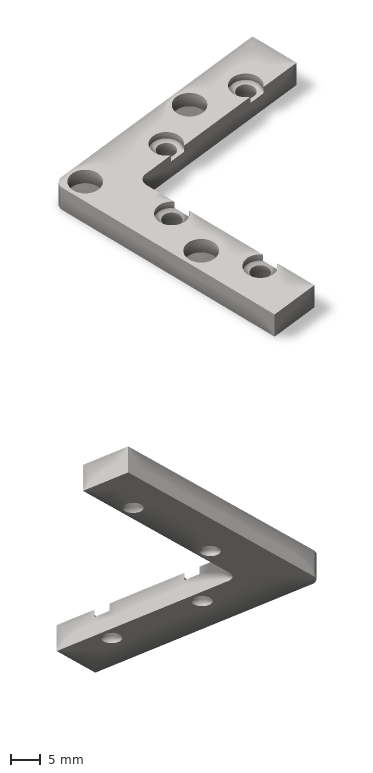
import cadquery as cq

leg_length = 50.0
leg_width = 10.0
thickness = 5.0
corner_radius = 2.0

screw_diameter = 3.6
counterbore_diameter = 6.0
counterbore_depth = 1.4
screw_edge_offset = 7.5
screw_stations = (20.0, 40.0)

pocket_diameter = 6.0
pocket_depth = 3.0
pocket_edge_offset = 3.75
pocket_station = 30.0


def on_both_legs(station, edge_offset):
    """Mirrored pair of points, one on each leg."""
    return [(station, edge_offset), (edge_offset, station)]


def make_body():
    outline = [
        (0, 0),
        (leg_length, 0),
        (leg_length, leg_width),
        (leg_width, leg_width),
        (leg_width, leg_length),
        (0, leg_length),
    ]
    body = cq.Workplane("XY").polyline(outline).close().extrude(thickness)
    for corner in (0, leg_width):
        nearest = cq.selectors.NearestToPointSelector((corner, corner, thickness / 2))
        body = body.edges("|Z").edges(nearest).fillet(corner_radius)
    return body


def top_cutter(points, diameter, depth):
    """Cylinders reaching down from the top face."""
    top = cq.Workplane("XY").workplane(offset=thickness)
    return top.pushPoints(points).circle(diameter / 2).extrude(-depth)


screw_points = []
for station in screw_stations:
    screw_points += on_both_legs(station, screw_edge_offset)

pocket_points = [(pocket_edge_offset, pocket_edge_offset)]
pocket_points += on_both_legs(pocket_station, pocket_edge_offset)

result = make_body()
result = result.cut(top_cutter(screw_points, screw_diameter, thickness))
result = result.cut(top_cutter(screw_points, counterbore_diameter, counterbore_depth))
result = result.cut(top_cutter(pocket_points, pocket_diameter, pocket_depth))